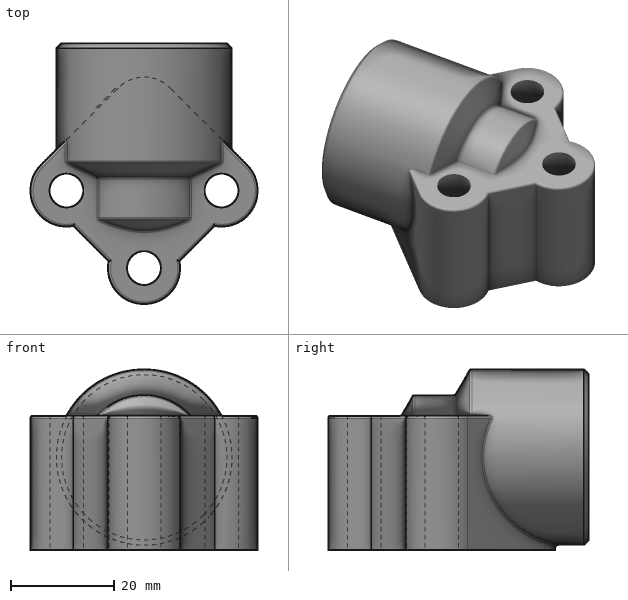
import cadquery as cq
import math

FLANGE_HEIGHT = 26.0
BOLT_RADIUS = 15.0
LOBE_RADIUS = 7.0
BOLT_HOLE_DIAMETER = 6.5
WEB_DISTANCE = 14.5
WEST = (-BOLT_RADIUS, 0)
SOUTH = (0, -BOLT_RADIUS)
EAST = (BOLT_RADIUS, 0)
NORTH = (0, BOLT_RADIUS)

BARREL_AXIS_Z = 18.0
BARREL_RADIUS = 17.0
NECK_RADIUS = 12.0
BARREL_MOUTH_Y = 28.5
BARREL_SHOULDER_Y = 5.5
NECK_END_Y = -5.5
CONE_HALF_ANGLE = 60.0
MOUTH_CHAMFER = 1.0

EDGE_FILLET = 0.5


def cone_length(radius_drop):
    """Axial length over which a cone loses the given radius."""
    return radius_drop / math.tan(math.radians(CONE_HALF_ANGLE))


def bar_between_lobes(start, end, half_width):
    """Upright bar running from one lobe centre to another."""
    dx = end[0] - start[0]
    dy = end[1] - start[1]
    middle = ((start[0] + end[0]) / 2, (start[1] + end[1]) / 2, 0)
    bar = cq.Workplane("XY").rect(math.hypot(dx, dy), 2 * half_width).extrude(FLANGE_HEIGHT)
    turn = math.degrees(math.atan2(dy, dx))
    return bar.rotate((0, 0, 0), (0, 0, 1), turn).translate(middle)


def make_flange():
    """Lobed block: recessed webs beside the south lobe, tangent walls beside the north one."""
    centers = [WEST, SOUTH, EAST, NORTH]
    web_half_width = WEB_DISTANCE - BOLT_RADIUS / math.sqrt(2)
    flange = cq.Workplane("XY").polyline(centers).close().extrude(FLANGE_HEIGHT)
    lobes = cq.Workplane("XY").pushPoints(centers).circle(LOBE_RADIUS).extrude(FLANGE_HEIGHT)
    flange = flange.union(lobes)
    for side in (WEST, EAST):
        flange = flange.union(bar_between_lobes(SOUTH, side, web_half_width))
        flange = flange.union(bar_between_lobes(side, NORTH, LOBE_RADIUS))
    return flange.clean()


def make_barrel():
    """Chamfered barrel, conical shoulder, neck and conical nose, revolved as one profile."""
    neck_start_y = BARREL_SHOULDER_Y - cone_length(BARREL_RADIUS - NECK_RADIUS)
    nose_tip_y = NECK_END_Y - cone_length(NECK_RADIUS)
    half_profile = (
        cq.Workplane("XY", origin=(0, 0, BARREL_AXIS_Z))
        .moveTo(0, BARREL_MOUTH_Y)
        .lineTo(BARREL_RADIUS - MOUTH_CHAMFER, BARREL_MOUTH_Y)
        .lineTo(BARREL_RADIUS, BARREL_MOUTH_Y - MOUTH_CHAMFER)
        .lineTo(BARREL_RADIUS, BARREL_SHOULDER_Y)
        .lineTo(NECK_RADIUS, neck_start_y)
        .lineTo(NECK_RADIUS, NECK_END_Y)
        .lineTo(0, nose_tip_y)
        .close()
    )
    return half_profile.revolve(360, (0, 0, 0), (0, 1, 0))


def round_edges(body):
    """Fillet every edge that stays clear of the base plane and of the barrel mouth."""
    reach = BOLT_RADIUS + LOBE_RADIUS + EDGE_FILLET
    lower_corner = (-reach, -reach, EDGE_FILLET)
    upper_corner = (reach, reach, BARREL_AXIS_Z + BARREL_RADIUS + EDGE_FILLET)
    clear_of_ends = cq.selectors.BoxSelector(lower_corner, upper_corner, boundingbox=True)
    return body.edges(clear_of_ends).fillet(EDGE_FILLET)


def drill_bolt_holes(body):
    """Through holes in the three lobes that the barrel leaves open."""
    holes = (
        cq.Workplane("XY")
        .pushPoints([WEST, SOUTH, EAST])
        .circle(BOLT_HOLE_DIAMETER / 2)
        .extrude(FLANGE_HEIGHT)
    )
    return body.cut(holes)


housing = make_flange().union(make_barrel())
housing = round_edges(housing)
result = drill_bolt_holes(housing)